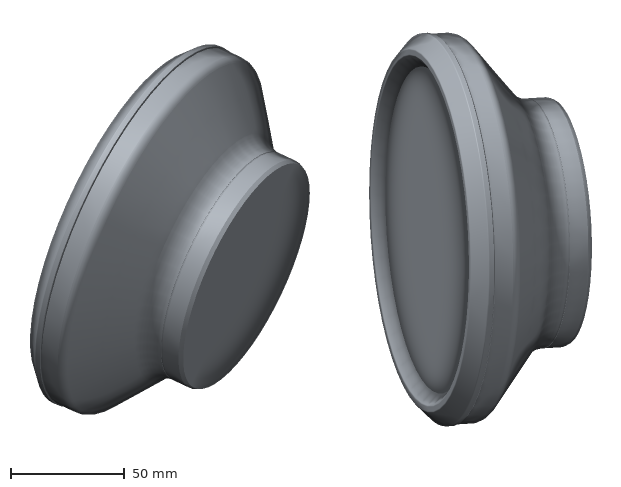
import cadquery as cq
import math


total_length = 63.0
bezel_back = 9.0
shadow_gap = 0.5
rim_end = 17.8
neck_groove_start = 52.1
neck_groove_width = 0.7
neck_chamfer_length = 1.9
neck_chamfer_depth = 0.9

rim_radius = 172.0 / 2
gap_radius = 169.0 / 2
neck_radius = 110.0 / 2
neck_groove_radius = 109.5 / 2

cone_angle = math.radians(50)
shoulder_radius = 4.8
neck_blend_radius = 12.5

bezel_radius = 86.5
front_chamfer = 6.5
window_radius = 72.0
window_depth = 5.2
edge_fillet = 0.9

front_face_radius = bezel_radius - front_chamfer
mouth_radius = window_radius + window_depth


def revolve_about_x(profile):
    """Turn a closed (X, radius) profile into a solid about the X axis."""
    return profile.close().revolve(360, (0, 0, 0), (1, 0, 0))


def make_bezel():
    """Ring with a chamfered outside and a conical opening, its front edges rounded."""
    profile = (
        cq.Workplane("XY")
        .moveTo(0, mouth_radius)
        .lineTo(0, front_face_radius)
        .lineTo(front_chamfer, bezel_radius)
        .lineTo(bezel_back, bezel_radius)
        .lineTo(bezel_back, window_radius)
        .lineTo(window_depth, window_radius)
    )
    ring = revolve_about_x(profile)
    rounded_radii = (mouth_radius, front_face_radius, bezel_radius)
    rounded_edges = ring.edges("%CIRCLE").filter(
        lambda edge: edge.Center().x < bezel_back - edge_fillet
        and any(math.isclose(edge.radius(), radius) for radius in rounded_radii)
    )
    return rounded_edges.fillet(edge_fillet)


def arc_offset(radius, angle):
    """Advance along X and drop in radius of an arc that turns from the X direction by an angle."""
    return radius * math.sin(angle), radius * (1 - math.cos(angle))


def make_housing():
    """Solid bell: a disc filling the bezel, a rim, a cone and a grooved neck."""
    gap_end = bezel_back + shadow_gap
    groove_end = neck_groove_start + neck_groove_width

    advance, drop = arc_offset(shoulder_radius, cone_angle)
    mid_advance, mid_drop = arc_offset(shoulder_radius, cone_angle / 2)
    shoulder_middle = (rim_end + mid_advance, rim_radius - mid_drop)
    cone_start = (rim_end + advance, rim_radius - drop)

    advance, drop = arc_offset(neck_blend_radius, cone_angle)
    mid_advance, mid_drop = arc_offset(neck_blend_radius, cone_angle / 2)
    cone_end_radius = neck_radius + drop
    cone_length = (cone_start[1] - cone_end_radius) / math.tan(cone_angle)
    cone_end = (cone_start[0] + cone_length, cone_end_radius)
    neck_start = cone_end[0] + advance
    blend_middle = (neck_start - mid_advance, neck_radius + mid_drop)

    profile = (
        cq.Workplane("XY")
        .moveTo(window_depth, 0)
        .lineTo(window_depth, window_radius)
        .lineTo(bezel_back, window_radius)
        .lineTo(bezel_back, gap_radius)
        .lineTo(gap_end, gap_radius)
        .lineTo(gap_end, rim_radius)
        .lineTo(rim_end, rim_radius)
        .threePointArc(shoulder_middle, cone_start)
        .lineTo(*cone_end)
        .threePointArc(blend_middle, (neck_start, neck_radius))
        .lineTo(neck_groove_start, neck_radius)
        .lineTo(neck_groove_start, neck_groove_radius)
        .lineTo(groove_end, neck_groove_radius)
        .lineTo(groove_end, neck_radius)
        .lineTo(total_length - neck_chamfer_length, neck_radius)
        .lineTo(total_length, neck_radius - neck_chamfer_depth)
        .lineTo(total_length, 0)
    )
    return revolve_about_x(profile)


bezel = make_bezel()
housing = make_housing()
result = cq.Compound.makeCompound([bezel.val(), housing.val()])